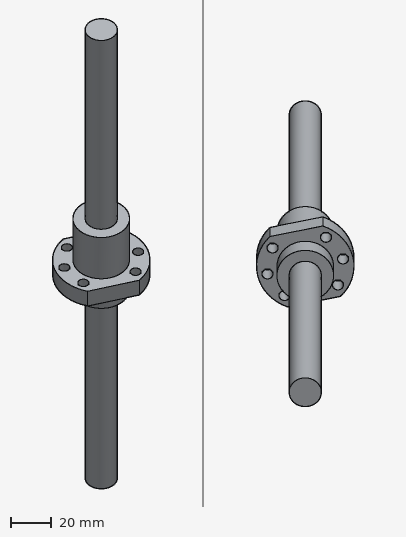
import cadquery as cq

shaft_length = 300.0
shaft_diameter = 16.0

nut_length = 47.5
nut_diameter = 28.0
nut_bottom = -nut_length / 2

flange_diameter = 48.0
flange_width = 40.0
flange_thickness = 10.0
flange_bottom = nut_bottom + 10.0

hole_diameter = 5.5
hole_circle_diameter = 38.0
hole_spacing_angle = 45.0
side_angles = (90.0, 270.0)


def make_shaft():
    """Plain round shaft along Z."""
    return cq.Workplane("XY").circle(shaft_diameter / 2).extrude(shaft_length / 2, both=True)


def make_flange():
    """Disc cut to the flange width, with its mounting holes."""
    base = cq.Workplane("XY").workplane(offset=flange_bottom)
    disc = base.circle(flange_diameter / 2).extrude(flange_thickness)
    flats = base.rect(flange_width, flange_diameter).extrude(flange_thickness)
    flange = disc.intersect(flats)
    for side_angle in side_angles:
        holes = (
            base.polarArray(
                hole_circle_diameter / 2,
                side_angle - hole_spacing_angle,
                2 * hole_spacing_angle,
                3,
            )
            .circle(hole_diameter / 2)
            .extrude(flange_thickness)
        )
        flange = flange.cut(holes)
    return flange


def make_nut():
    """Cylindrical nut body joined to its flange, bored to fit the shaft."""
    body = (
        cq.Workplane("XY")
        .workplane(offset=nut_bottom)
        .circle(nut_diameter / 2)
        .extrude(nut_length)
    )
    return body.union(make_flange()).cut(make_shaft())


shaft = make_shaft()
nut = make_nut()

result = cq.Compound.makeCompound([shaft.val(), nut.val()])